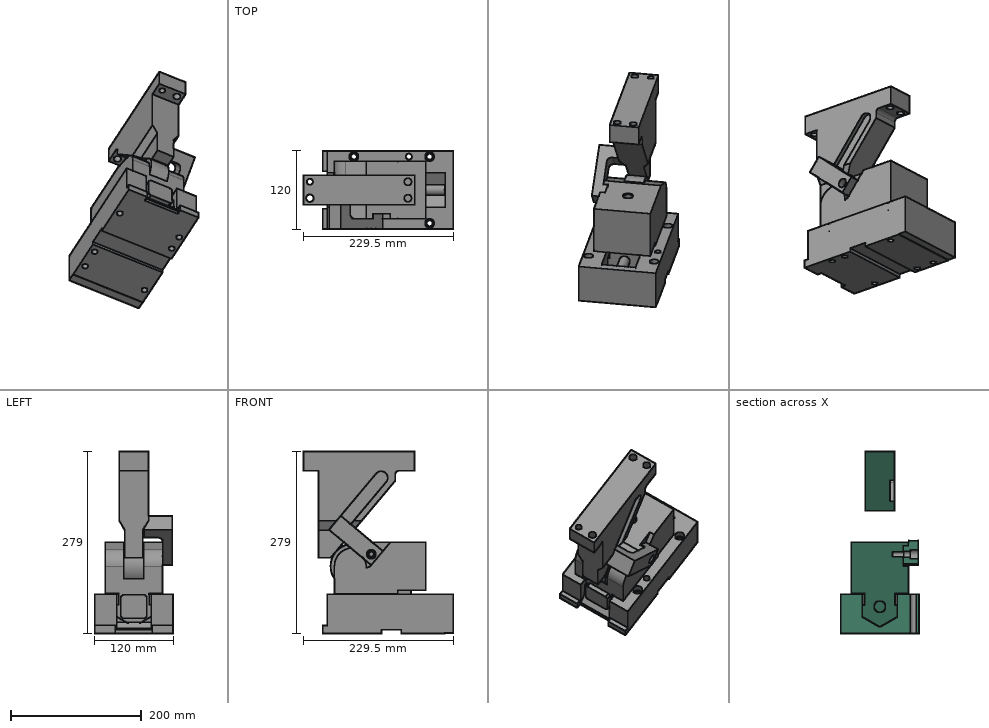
import cadquery as cq
import math


base_length = 200.0
base_width = 120.0
base_height = 60.5
toe_length = 7.0
toe_height = 12.5
toe_gap = 57.0
foot_relief_length = 0.8
keyway_depth = 5.9
keyway_start = 90.5
keyway_length = 29.9
rear_relief_length = 13.5
rear_relief_depth = 0.8
channel_width = 52.7
channel_end = 187.5
sill_length = 9.8
sill_front_height = 8.5
sill_back_height = 17.3
vee_shoulder_height = 26.0
vee_angle = 30
bolt_hole_diameter = 9.0
bolt_head_diameter = 14.0
bolt_head_depth = 12.5
base_hole_offset = 51.0
front_bolt_x = 47.7
rear_bolt_x = 163.8
front_dowel_x = 72.5
rear_dowel_x = 132.0

slide_front = 18.0
slide_back = 158.0
slide_width = 88.0
slide_bottom = 61.5
slide_top = 140.0
back_step_start = 115.2
back_step_bottom = 66.0
cheek_radius = 28.0
cheek_arc_end_angle = 23.5
slope_end_x = 66.7
guide_end = 135.5
guide_neck_width = 47.0
guide_shoulder_height = 44.0
nose_radius = 34.0
nose_width = 30.0
nose_height = 103.2
hub_radius = 20.6
pocket_corner_radius = 12.0
lifting_hole_x = 107.7
lifting_hole_diameter = 13.5
lifting_hole_depth = 22.3
lifting_hole_chamfer = 1.0

driver_height = 279.0
flange_left = -29.5
flange_length = 170.2
flange_thickness = 29.9
stem_left = -6.5
stem_right = 111.3
stem_bottom = 116.0
stem_fillet = 5.5
cam_angle = 50
driver_width = 45.2
blade_width = 28.0
taper_top = 173.0
taper_bottom = 158.5
flange_hole_inset = 10.0
flange_hole_offset = 12.5
flange_hole_diameter = 11.2
locating_hole_diameter = 9.0
slot_width = 20.0
slot_floor = 15.5
slot_travel = 112.2

bracket_corner_x = 9.8
bracket_corner_z = 159.0
bracket_length = 84.3
bracket_width = 28.0
bracket_arm_thickness = 19.0
bracket_outer_face = 59.1
bracket_fillet = 8.0
foot_length = 20.0
foot_tip = 36.3
bracket_bolt_from_end = 10.5
bracket_bolt_height = 12.8
bracket_bolt_head_depth = 12.5
tapped_hole_diameter = 7.5
tapped_hole_depth = 16.7

spring_plate_front = 10.5
spring_plate_width = 40.2
spring_plate_height = 36.3
spring_plate_corner = 3.3
spring_axis_height = 41.3
rod_diameter = 16.5
rod_end = 186.7

sill_end = toe_length + sill_length
vee_bottom = vee_shoulder_height - channel_width / 2 * math.tan(math.radians(vee_angle))
nose_x = slide_front + cheek_radius
cam_cos = math.cos(math.radians(cam_angle))
cam_sin = math.sin(math.radians(cam_angle))
cam_contact = (nose_x - nose_radius * cam_sin, nose_height + nose_radius * cam_cos)
foot_start = bracket_length - foot_length
slide_side = slide_width / 2


def centered_box(x0, x1, width, z0, z1):
    """Box of the given width about the middle plane."""
    corner = cq.Workplane("XY", origin=(x0, -width / 2, z0))
    return corner.box(x1 - x0, width, z1 - z0, centered=False)


def rod_along_x(x0, x1, diameter):
    """Cylinder on the spring axis."""
    section = cq.Workplane("YZ", origin=(x0, 0, spring_axis_height)).circle(diameter / 2)
    return section.extrude(x1 - x0)


def disc_along_y(radius, y_start, length):
    """Disc on the nose axis, running towards -Y from y_start."""
    return cq.Workplane("XZ", origin=(nose_x, y_start, nose_height)).circle(radius).extrude(length)


def bracket_plane(y):
    """Sketch plane at y: local x runs down the bracket, local y along the cam face, normal -Y."""
    return cq.Workplane(cq.Plane(
        origin=(bracket_corner_x, y, bracket_corner_z),
        xDir=(cam_sin, 0, -cam_cos),
        normal=(0, -1, 0),
    ))


def on_bracket(along, across):
    """X and Z of a point given in the bracket's own directions."""
    x = bracket_corner_x + along * cam_sin + across * cam_cos
    z = bracket_corner_z - along * cam_cos + across * cam_sin
    return (x, z)


def vee_profile(top, neck_width, shoulder):
    """Channel section with a V floor, narrowed to neck_width above the shoulder."""
    half = channel_width / 2
    neck = neck_width / 2
    return [
        (0, vee_bottom), (half, vee_shoulder_height), (half, shoulder), (neck, shoulder), (neck, top),
        (-neck, top), (-neck, shoulder), (-half, shoulder), (-half, vee_shoulder_height),
    ]


def make_base():
    body = centered_box(toe_length, base_length, base_width, 0, base_height)
    body = body.union(centered_box(0, toe_length, base_width, 0, toe_height))
    body = body.cut(centered_box(0, toe_length, toe_gap, 0, toe_height))

    relief_end = toe_length + foot_relief_length
    body = body.cut(centered_box(toe_length, relief_end, toe_gap, 0, keyway_depth))
    keyway_end = keyway_start + keyway_length
    body = body.cut(centered_box(keyway_start, keyway_end, base_width, 0, keyway_depth))
    relief_start = base_length - rear_relief_length
    body = body.cut(centered_box(relief_start, base_length, base_width, 0, rear_relief_depth))

    section = [
        (0, vee_bottom), (channel_width / 2, vee_shoulder_height), (channel_width / 2, base_height),
        (-channel_width / 2, base_height), (-channel_width / 2, vee_shoulder_height),
    ]
    channel = cq.Workplane("YZ", origin=(sill_end, 0, 0)).polyline(section).close()
    body = body.cut(channel.extrude(channel_end - sill_end))
    entry = [
        (toe_length, sill_front_height), (sill_end, sill_back_height),
        (sill_end, base_height), (toe_length, base_height),
    ]
    entry_plane = cq.Workplane("XZ", origin=(0, channel_width / 2, 0))
    body = body.cut(entry_plane.polyline(entry).close().extrude(channel_width))

    bolts = [(x, side * base_hole_offset) for x in (front_bolt_x, rear_bolt_x) for side in (-1, 1)]
    dowels = [(front_dowel_x, -base_hole_offset), (rear_dowel_x, base_hole_offset)]
    top = cq.Workplane("XY", origin=(0, 0, base_height))
    heads = top.pushPoints(bolts).circle(bolt_head_diameter / 2).extrude(-bolt_head_depth)
    shanks = top.pushPoints(bolts + dowels).circle(bolt_hole_diameter / 2).extrude(-base_height)
    return body.cut(heads).cut(shanks)


def make_foot_pocket():
    """Pocket in the -Y side for the bracket foot; the round hub of the nose stays uncut."""
    above_slide = bracket_width + foot_length
    wall_foot = on_bracket(bracket_length, 0)
    corner_centre_x = wall_foot[0] - pocket_corner_radius * cam_sin
    corner_centre_z = wall_foot[1] + pocket_corner_radius * cam_cos
    pocket = (
        cq.Workplane("XZ", origin=(0, -foot_tip, 0))
        .moveTo(*on_bracket(foot_start, above_slide))
        .lineTo(*on_bracket(bracket_length, above_slide))
        .lineTo(*wall_foot)
        .tangentArcPoint((corner_centre_x, corner_centre_z - pocket_corner_radius), relative=False)
        .lineTo(*on_bracket(foot_start, 0))
        .close()
        .extrude(slide_side - foot_tip)
    )
    return pocket.cut(disc_along_y(hub_radius, -foot_tip, slide_side - foot_tip))


def make_slide():
    angle = math.radians(cheek_arc_end_angle)
    arc_end = (nose_x - cheek_radius * math.sin(angle), nose_height + cheek_radius * math.cos(angle))
    body = (
        cq.Workplane("XZ", origin=(0, slide_side, 0))
        .moveTo(slide_front, slide_bottom)
        .lineTo(slide_front, nose_height)
        .tangentArcPoint(arc_end, relative=False)
        .lineTo(slope_end_x, slide_top)
        .lineTo(slide_back, slide_top)
        .lineTo(slide_back, back_step_bottom)
        .lineTo(back_step_start, back_step_bottom)
        .lineTo(back_step_start, slide_bottom)
        .close()
        .extrude(slide_width)
    )
    body = body.union(disc_along_y(nose_radius, nose_width / 2, nose_width))

    section = vee_profile(back_step_bottom, guide_neck_width, guide_shoulder_height)
    guide = cq.Workplane("YZ", origin=(slide_front, 0, 0)).polyline(section).close()
    body = body.union(guide.extrude(guide_end - slide_front))

    body = body.cut(rod_along_x(slide_front, guide_end, rod_diameter))
    body = body.cut(make_foot_pocket())

    bolt_x = bracket_length - bracket_bolt_from_end
    tapped = bracket_plane(-foot_tip).center(bolt_x, bracket_bolt_height).circle(tapped_hole_diameter / 2)
    body = body.cut(tapped.extrude(-tapped_hole_depth))

    hole_top = cq.Workplane("XY", origin=(lifting_hole_x, 0, slide_top))
    hole = hole_top.circle(lifting_hole_diameter / 2).extrude(-lifting_hole_depth)
    mouth = hole_top.circle(lifting_hole_diameter / 2 + lifting_hole_chamfer)
    return body.cut(hole).cut(mouth.extrude(-lifting_hole_chamfer, taper=45))


def make_driver():
    flange_bottom = driver_height - flange_thickness
    flange_right = flange_left + flange_length
    cam_slope = math.tan(math.radians(cam_angle))
    tip_x = cam_contact[0] + (stem_bottom - cam_contact[1]) / cam_slope
    cam_top = cam_contact[1] + (stem_right - cam_contact[0]) * cam_slope
    outline = (
        cq.Workplane("XZ", origin=(0, driver_width / 2, 0))
        .moveTo(flange_left, driver_height)
        .lineTo(flange_left, flange_bottom)
        .lineTo(stem_left, flange_bottom)
        .lineTo(stem_left, stem_bottom)
        .lineTo(tip_x, stem_bottom)
        .lineTo(stem_right, cam_top)
        .lineTo(stem_right, flange_bottom - stem_fillet)
        .tangentArcPoint((stem_right + stem_fillet, flange_bottom), relative=False)
        .lineTo(flange_right, flange_bottom)
        .lineTo(flange_right, driver_height)
        .close()
        .extrude(driver_width)
    )

    half = driver_width / 2
    blade = blade_width / 2
    section = [
        (half, driver_height), (half, taper_top), (blade, taper_bottom), (blade, stem_bottom),
        (-blade, stem_bottom), (-blade, taper_bottom), (-half, taper_top), (-half, driver_height),
    ]
    thickness = cq.Workplane("YZ", origin=(flange_left, 0, 0)).polyline(section).close()
    body = outline.intersect(thickness.extrude(flange_length))

    slot_radius = slot_width / 2
    slot_depth = half - slot_floor
    slot_plane = bracket_plane(-slot_floor)
    slot = slot_plane.rect(slot_width, slot_travel, centered=False).extrude(slot_depth)
    slot_end = slot_plane.center(slot_radius, slot_travel).circle(slot_radius).extrude(slot_depth)
    body = body.cut(slot).cut(slot_end)

    hole_left = flange_left + flange_hole_inset
    hole_right = flange_right - flange_hole_inset
    bolts = [
        (hole_left, -flange_hole_offset), (hole_right, -flange_hole_offset), (hole_right, flange_hole_offset),
    ]
    top = cq.Workplane("XY", origin=(0, 0, driver_height))
    bolt_holes = top.pushPoints(bolts).circle(flange_hole_diameter / 2).extrude(-flange_thickness)
    locating_hole = top.center(hole_left, flange_hole_offset).circle(locating_hole_diameter / 2)
    return body.cut(bolt_holes).cut(locating_hole.extrude(-flange_thickness))


def make_bracket():
    plate = bracket_plane(-slide_side).rect(bracket_length, bracket_width, centered=False)
    body = plate.extrude(bracket_outer_face - slide_side)
    arm = bracket_plane(-slot_floor).rect(bracket_arm_thickness, bracket_width, centered=False)
    body = body.union(arm.extrude(bracket_outer_face - slot_floor))
    inner_corner = on_bracket(bracket_arm_thickness, bracket_width / 2)
    corner_point = (inner_corner[0], -slide_side, inner_corner[1])
    body = body.edges(cq.selectors.NearestToPointSelector(corner_point)).fillet(bracket_fillet)
    foot = bracket_plane(-foot_tip).center(foot_start, 0).rect(foot_length, bracket_width, centered=False)
    foot = foot.extrude(slide_side - foot_tip)
    foot = foot.cut(disc_along_y(hub_radius, -foot_tip, slide_side - foot_tip))
    body = body.union(foot)

    bolt_x = bracket_length - bracket_bolt_from_end
    face = bracket_plane(-bracket_outer_face).center(bolt_x, bracket_bolt_height)
    head = face.circle(bolt_head_diameter / 2).extrude(-bracket_bolt_head_depth)
    shank = face.circle(bolt_hole_diameter / 2).extrude(foot_tip - bracket_outer_face)
    return body.cut(head).cut(shank)


def make_spring_unit():
    plate = cq.Workplane("YZ", origin=(spring_plate_front, 0, spring_axis_height))
    plate = plate.rect(spring_plate_width, spring_plate_height).extrude(slide_front - spring_plate_front)
    plate = plate.edges("|X").chamfer(spring_plate_corner)
    return plate.union(rod_along_x(slide_front, rod_end, rod_diameter))


base = make_base()
slide = make_slide()
driver = make_driver()
bracket = make_bracket()
spring_unit = make_spring_unit()

bodies = [base, slide, driver, bracket, spring_unit]
result = cq.Compound.makeCompound([body.solids().val() for body in bodies])